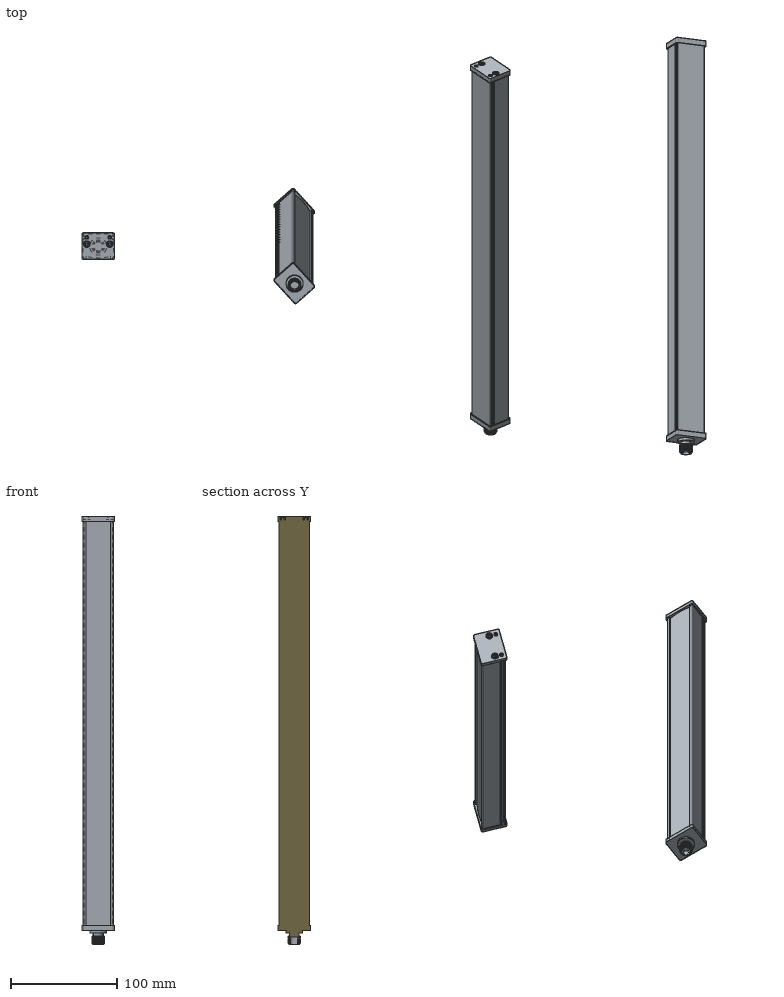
import cadquery as cq
import math

cap_width = 31.0
cap_depth = 25.0
cap_thickness = 5.0
cap_corner_radius = 1.5
housing_length = 390.0
body_length = housing_length - 2 * cap_thickness

body_width = 28.8
body_depth = 22.8
body_corner_radius = 1.3
window_width = 22.6
window_edge_depth = 1.5
window_crown = 1.2

groove_depth = 0.8
groove_width = 1.2
groove_setbacks = (2.0, 4.7)

hole_offset_x = 10.8
pin_hole_diameter = 2.0
pin_hole_depth = 3.0
pin_recess_diameter = 3.4
pin_recess_depth = 1.0
pin_hole_setback = 4.4
screw_setback = 10.7
screw_recess_diameter = 6.2
screw_recess_depth = 3.0
screw_head_diameter = 4.6
screw_head_height = 2.4
screw_socket_width = 2.0
screw_socket_depth = 1.5

connector_length = 13.1
connector_offset_y = -0.4
flange_diameter = 16.0
flange_thickness = 2.3
neck_diameter = 9.6
neck_length = 2.5
thread_diameter = 12.0
thread_root_diameter = 10.8
thread_lead_in = 1.0
thread_tip_diameter = 9.8
thread_pitch = 1.0
thread_length = connector_length - flange_thickness - neck_length
thread_count = math.floor((thread_length - thread_lead_in) / thread_pitch)
bore_diameter = 8.5
bore_depth = 7.0

body_bottom = cap_thickness
body_top = body_bottom + body_length
housing_top = housing_length
sides = (-1, 1)


def cylinder(diameter, bottom, height, x=0.0, y=0.0):
    return cq.Workplane("XY", origin=(x, y, bottom)).circle(diameter / 2).extrude(height)


def make_cap(bottom):
    cap = cq.Workplane("XY", origin=(0, 0, bottom)).rect(cap_width, cap_depth).extrude(cap_thickness)
    return cap.edges("|Z").fillet(cap_corner_radius)


def make_body():
    """Round-cornered bar with a crowned front window and a pair of grooves along each side."""
    bar = cq.Workplane("XY", origin=(0, 0, body_bottom)).rect(body_width, body_depth).extrude(body_length)
    bar = bar.edges("|Z").fillet(body_corner_radius)
    front = -body_depth / 2
    window_edge = front + window_edge_depth
    window_recess = (
        cq.Workplane("XY", origin=(0, 0, body_bottom))
        .moveTo(-window_width / 2, front)
        .lineTo(-window_width / 2, window_edge)
        .threePointArc((0, window_edge - window_crown), (window_width / 2, window_edge))
        .lineTo(window_width / 2, front)
        .close()
        .extrude(body_length)
    )
    bar = bar.cut(window_recess)
    for side in sides:
        for setback in groove_setbacks:
            groove = (
                cq.Workplane("XY", origin=(side * body_width / 2, body_depth / 2 - setback, body_bottom))
                .rect(2 * groove_depth, groove_width)
                .extrude(body_length)
            )
            bar = bar.cut(groove)
    return bar


def cut_cap_openings(part):
    """Stepped blind pin hole and recessed socket screw at each side of the top cap."""
    back = cap_depth / 2
    for side in sides:
        x = side * hole_offset_x
        pin_y = back - pin_hole_setback
        screw_y = back - screw_setback
        recess_floor = housing_top - screw_recess_depth
        head_top = recess_floor + screw_head_height
        for diameter, depth in ((pin_hole_diameter, pin_hole_depth), (pin_recess_diameter, pin_recess_depth)):
            part = part.cut(cylinder(diameter, housing_top - depth, depth, x, pin_y))
        part = part.cut(cylinder(screw_recess_diameter, recess_floor, screw_recess_depth, x, screw_y))
        part = part.union(cylinder(screw_head_diameter, recess_floor, screw_head_height, x, screw_y))
        socket = (
            cq.Workplane("XY", origin=(x, screw_y, head_top))
            .polygon(6, screw_socket_width, circumscribed=True)
            .extrude(-screw_socket_depth)
        )
        part = part.cut(socket)
    return part


def make_connector():
    """Turned plug: flange, neck and a thread of ring-shaped ridges, bored from below."""
    tip = -connector_length
    thread_top = tip + thread_length
    outer = thread_diameter / 2
    root = thread_root_diameter / 2
    profile = cq.Workplane("XZ").moveTo(0, tip).lineTo(thread_tip_diameter / 2, tip)
    profile = profile.lineTo(root, tip + thread_lead_in)
    for ridge in range(thread_count):
        ridge_bottom = tip + thread_lead_in + ridge * thread_pitch
        profile = profile.lineTo(outer, ridge_bottom + thread_pitch / 2)
        profile = profile.lineTo(root, ridge_bottom + thread_pitch)
    plug = (
        profile.lineTo(root, thread_top)
        .lineTo(neck_diameter / 2, thread_top)
        .lineTo(neck_diameter / 2, -flange_thickness)
        .lineTo(flange_diameter / 2, -flange_thickness)
        .lineTo(flange_diameter / 2, 0)
        .lineTo(0, 0)
        .close()
        .revolve(360, (0, 0, 0), (0, 1, 0))
    )
    plug = plug.cut(cylinder(bore_diameter, tip, bore_depth))
    return plug.translate((0, connector_offset_y, 0))


housing = make_cap(0).union(make_body()).union(make_cap(body_top))
result = cut_cap_openings(housing).union(make_connector())